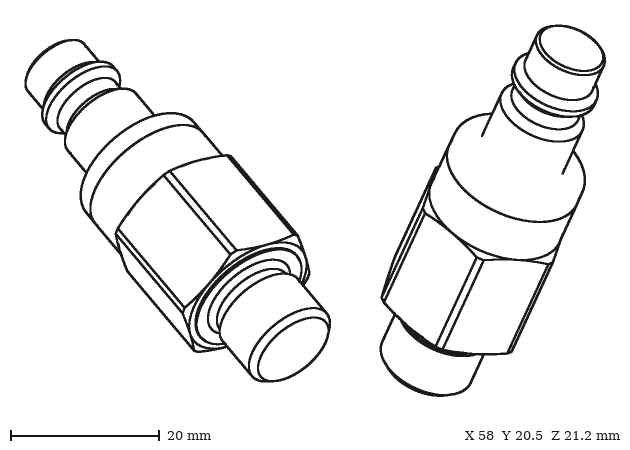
import cadquery as cq
import math

TOTAL_LENGTH = 58.0
TIP_CHAMFER = 0.4
COLLAR_START = 4.95
COLLAR_CREST_START = 6.05
COLLAR_CREST_END = 7.0
GROOVE_START = 8.05
GROOVE_END = 10.3
SHANK_START = 11.55
BODY_START = 19.9
BODY_SEAM = 22.95
HEX_START = 29.85
HEX_END = 47.0
SHOULDER_END = 47.25
NECK_START = 48.15
NECK_BOTTOM = 48.9
THREAD_START = 50.0

TIP_DIAMETER = 9.9
GROOVE_DIAMETER = 9.75
SHANK_DIAMETER = 12.0
BODY_REAR_DIAMETER = 19.0
BODY_FRONT_DIAMETER = 18.95
SHOULDER_DIAMETER = 17.0
NECK_CONE_DIAMETER = 13.35
NECK_START_DIAMETER = 11.6
NECK_BOTTOM_DIAMETER = 11.25
NECK_END_DIAMETER = 12.3
THREAD_DIAMETER = 13.15

BODY_ROUND = 1.0
SHANK_FILLET = 0.7
THREAD_CHAMFER = 0.9
THREAD_CHAMFER_DEPTH = 0.85

HEX_SIDES = 6
ACROSS_FLATS = 19.0
CORNER_DIAMETER = 21.4
HEX_FACE_DIAMETER = 19.0
HEX_CHAMFER_ANGLE = 20.0
CORNER_TILT = 11.0

ARC_MID = math.sqrt(0.5)


def revolve_about_x(profile):
    """Close a radius-over-X profile and turn it about the X axis."""
    return profile.close().revolve(360, (0, 0, 0), (1, 0, 0))


def make_plug():
    """Tip, locking collar, shank and round body."""
    tip = TIP_DIAMETER / 2
    groove = GROOVE_DIAMETER / 2
    shank = SHANK_DIAMETER / 2
    front = BODY_FRONT_DIAMETER / 2
    rear = BODY_REAR_DIAMETER / 2
    profile = (
        cq.Workplane("XY")
        .lineTo(0, tip - TIP_CHAMFER)
        .lineTo(TIP_CHAMFER, tip)
        .lineTo(COLLAR_START, tip)
        .lineTo(COLLAR_CREST_START, shank)
        .lineTo(COLLAR_CREST_END, shank)
        .lineTo(GROOVE_START, groove)
        .lineTo(GROOVE_END, groove)
        .lineTo(SHANK_START, shank)
        .lineTo(BODY_START - SHANK_FILLET, shank)
        .threePointArc(
            (BODY_START - SHANK_FILLET * (1 - ARC_MID), shank + SHANK_FILLET * (1 - ARC_MID)),
            (BODY_START, shank + SHANK_FILLET),
        )
        .lineTo(BODY_START, front - BODY_ROUND)
        .threePointArc(
            (BODY_START + BODY_ROUND * (1 - ARC_MID), front - BODY_ROUND * (1 - ARC_MID)),
            (BODY_START + BODY_ROUND, front),
        )
        .lineTo(BODY_SEAM, front)
        .lineTo(BODY_SEAM, rear)
        .lineTo(HEX_START, rear)
        .lineTo(HEX_START, 0)
    )
    return revolve_about_x(profile)


def make_hexagon():
    """Hexagon with turned corners and a chamfer at each end."""
    sharp_corners = ACROSS_FLATS / math.cos(math.pi / HEX_SIDES)
    prism = (
        cq.Workplane("YZ", origin=(HEX_START, 0, 0))
        .polygon(HEX_SIDES, sharp_corners)
        .extrude(HEX_END - HEX_START)
        .rotate((0, 0, 0), (1, 0, 0), 90 + CORNER_TILT)
    )
    face = HEX_FACE_DIAMETER / 2
    corner = CORNER_DIAMETER / 2
    chamfer = (corner - face) * math.tan(math.radians(HEX_CHAMFER_ANGLE))
    envelope = (
        cq.Workplane("XY")
        .moveTo(HEX_START, 0)
        .lineTo(HEX_START, face)
        .lineTo(HEX_START + chamfer, corner)
        .lineTo(HEX_END - chamfer, corner)
        .lineTo(HEX_END, face)
        .lineTo(HEX_END, 0)
    )
    return prism.intersect(revolve_about_x(envelope))


def make_threaded_end():
    """Shoulder, conical relief, rounded undercut neck and chamfered thread cylinder."""
    shoulder = SHOULDER_DIAMETER / 2
    thread = THREAD_DIAMETER / 2
    profile = (
        cq.Workplane("XY")
        .moveTo(HEX_END, 0)
        .lineTo(HEX_END, shoulder)
        .lineTo(SHOULDER_END, shoulder)
        .lineTo(SHOULDER_END, NECK_CONE_DIAMETER / 2)
        .lineTo(NECK_START, NECK_START_DIAMETER / 2)
        .threePointArc(
            (NECK_BOTTOM, NECK_BOTTOM_DIAMETER / 2),
            (THREAD_START, NECK_END_DIAMETER / 2),
        )
        .lineTo(THREAD_START, thread)
        .lineTo(TOTAL_LENGTH - THREAD_CHAMFER, thread)
        .lineTo(TOTAL_LENGTH, thread - THREAD_CHAMFER_DEPTH)
        .lineTo(TOTAL_LENGTH, 0)
    )
    return revolve_about_x(profile)


result = make_plug().union(make_hexagon()).union(make_threaded_end())